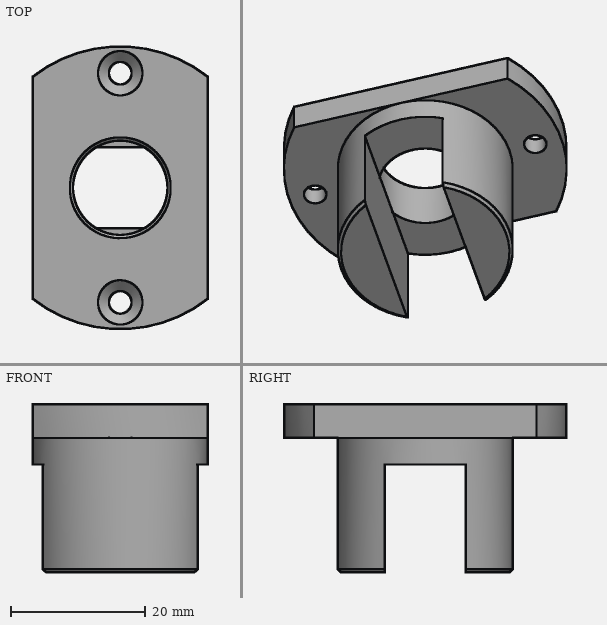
import cadquery as cq

flange_diameter = 42.0
flange_width = 26.0
flange_thickness = 5.0

total_height = 25.0
boss_diameter = flange_width
boss_height = total_height - flange_thickness
edge_chamfer = 0.5

slot_width = 12.0
slot_height = 16.0
bore_diameter = 14.0
bore_depth = total_height - slot_height

screw_offset = 17.0
screw_diameter = 3.3
countersink_diameter = 6.6
countersink_angle = 90


def make_flange():
    disc = cq.Workplane("XY").workplane(offset=boss_height).circle(flange_diameter / 2).extrude(flange_thickness)
    flats = cq.Workplane("XY").box(flange_width, flange_diameter, total_height, centered=(True, True, False))
    return disc.intersect(flats)


def make_boss():
    boss = cq.Workplane("XY").circle(boss_diameter / 2).extrude(boss_height)
    return boss.faces("<Z").edges().chamfer(edge_chamfer)


def make_slot():
    return cq.Workplane("XY").box(boss_diameter, slot_width, slot_height, centered=(True, True, False))


def make_bore():
    bore = cq.Workplane("XY").workplane(offset=slot_height).circle(bore_diameter / 2).extrude(bore_depth)
    mouth = (
        cq.Workplane("XY")
        .workplane(offset=total_height)
        .circle(bore_diameter / 2 + edge_chamfer)
        .extrude(-edge_chamfer, taper=45)
    )
    return bore.union(mouth)


result = make_flange().union(make_boss()).cut(make_slot()).cut(make_bore())

result = (
    result.faces(">Z")
    .workplane(origin=(0, 0, total_height))
    .pushPoints([(0, -screw_offset), (0, screw_offset)])
    .cskHole(screw_diameter, countersink_diameter, countersink_angle)
)